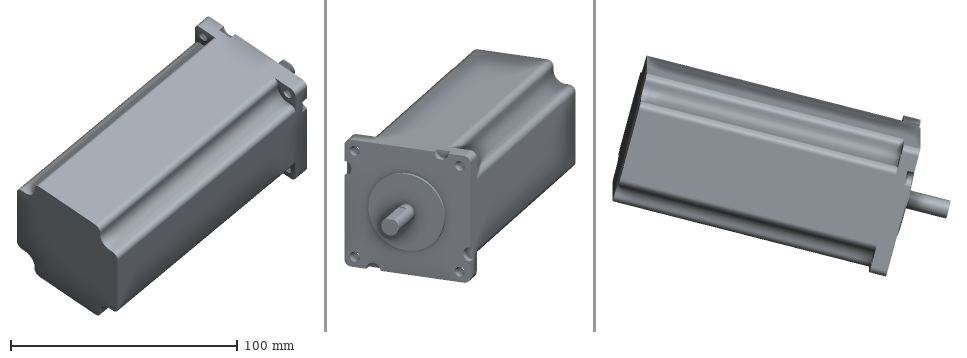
import cadquery as cq

total_length = 145.5
side = 60.0
half_side = side / 2
quarter_turns = 4

shaft_diameter = 8.1
shaft_length = 20.7
flat_length = 15.0
flat_depth = 0.6

flange_length = 10.6
stator_length = 63.0
spacer_length = 11.0
cover_length = total_length - shaft_length - flange_length - stator_length - spacer_length

plate_thickness = 7.5
plate_corner_radius = 3.0
hole_pitch = 50.0
hole_diameter = 4.7
pilot_diameter = 36.1
pilot_height = 1.3

notch_radius = 3.3
notch_depth = 3.0
notch_offset = 16.2

relief_depth = 10.5
relief_inner_radius = 5.8
relief_outer_radius = 3.0

stator_front = -flange_length
spacer_front = stator_front - stator_length
cover_front = spacer_front - spacer_length


def section_at(y):
    """XZ workplane at the given Y; positive extrusions run toward -Y."""
    return cq.Workplane("XZ", origin=(0, y, 0))


def corner_relief(front, length):
    """Material removed along the +X +Z corner of a square prism."""
    inner = half_side - relief_depth
    rim = half_side - relief_outer_radius
    bend = inner + relief_inner_radius
    outline = (
        section_at(front)
        .moveTo(half_side, half_side)
        .lineTo(inner - relief_outer_radius, half_side)
        .radiusArc((inner, rim), relief_outer_radius)
        .lineTo(inner, bend)
        .radiusArc((bend, inner), -relief_inner_radius)
        .lineTo(rim, inner)
        .radiusArc((half_side, inner - relief_outer_radius), relief_outer_radius)
        .close()
    )
    return outline.extrude(length)


def relieved_prism(front, length):
    """Square prism running back from `front`, with a rounded relief along each corner."""
    prism = section_at(front).rect(side, side).extrude(length)
    relief = corner_relief(front, length)
    for turn in range(quarter_turns):
        prism = prism.cut(relief.rotate((0, 0, 0), (0, 1, 0), turn * 360 / quarter_turns))
    return prism


def make_shaft():
    """Plain shaft with a flat along its free end."""
    shaft = section_at(0).circle(shaft_diameter / 2).extrude(-shaft_length)
    flat_height = shaft_diameter / 2 - flat_depth
    flat_cut = (
        cq.Workplane("XY", origin=(0, shaft_length - flat_length / 2, flat_height))
        .rect(shaft_diameter, flat_length)
        .extrude(flat_depth)
    )
    return shaft.cut(flat_cut)


def make_flange():
    """Front flange in one piece with its pilot and shaft."""
    plate = section_at(0).rect(side, side).extrude(plate_thickness)
    plate = plate.edges("|Y").fillet(plate_corner_radius)
    neck = relieved_prism(-plate_thickness, flange_length - plate_thickness)
    pilot = section_at(0).circle(pilot_diameter / 2).extrude(-pilot_height)
    flange = plate.union(neck).union(pilot).union(make_shaft())

    screw_holes = (
        section_at(0)
        .rect(hole_pitch, hole_pitch, forConstruction=True)
        .vertices()
        .circle(hole_diameter / 2)
        .extrude(plate_thickness)
    )
    flange = flange.cut(screw_holes)

    notch = (
        section_at(0)
        .center(-notch_offset, half_side)
        .circle(notch_radius)
        .extrude(notch_depth)
    )
    for turn in range(quarter_turns):
        flange = flange.cut(notch.rotate((0, 0, 0), (0, 1, 0), turn * 360 / quarter_turns))
    return flange


flange = make_flange()
stator = relieved_prism(stator_front, stator_length)
spacer = relieved_prism(spacer_front, spacer_length)
rear_cover = relieved_prism(cover_front, cover_length)

result = cq.Compound.makeCompound([flange.val(), stator.val(), spacer.val(), rear_cover.val()])